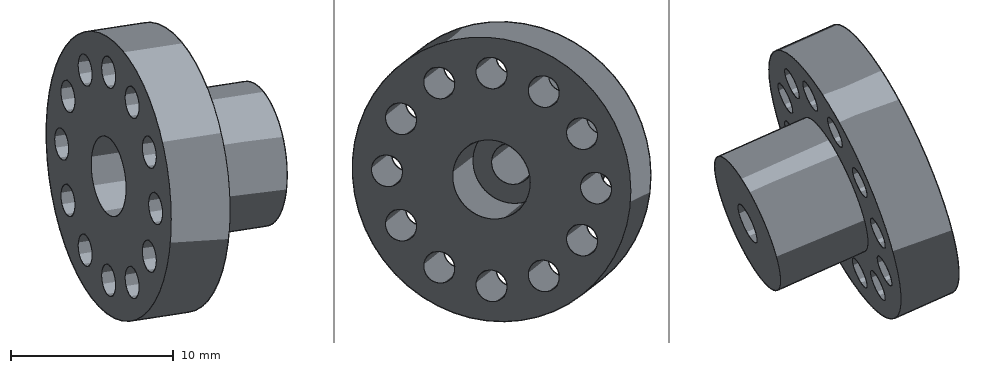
import cadquery as cq

flange_diameter = 18.0
flange_thickness = 4.0

hub_diameter = flange_diameter / 2
total_length = 10.0

bore_diameter = 2.6
counterbore_diameter = 5.0
counterbore_depth = flange_thickness

ring_hole_count = 12
ring_hole_diameter = 2.0
ring_diameter = 0.75 * flange_diameter


def cylinder_along_y(diameter, length):
    """Cylinder on the Y axis, running from Y = 0 towards +Y."""
    return cq.Workplane("XZ").circle(diameter / 2).extrude(-length)


def ring_holes():
    """Cutters for the evenly spaced holes, the first one on the X axis."""
    return (
        cq.Workplane("XZ")
        .polarArray(ring_diameter / 2, 0, 360, ring_hole_count)
        .circle(ring_hole_diameter / 2)
        .extrude(-flange_thickness)
    )


flange = cylinder_along_y(flange_diameter, flange_thickness)
hub = cylinder_along_y(hub_diameter, total_length)
bore = cylinder_along_y(bore_diameter, total_length)
counterbore = cylinder_along_y(counterbore_diameter, counterbore_depth)

result = flange.union(hub).cut(bore).cut(counterbore).cut(ring_holes())